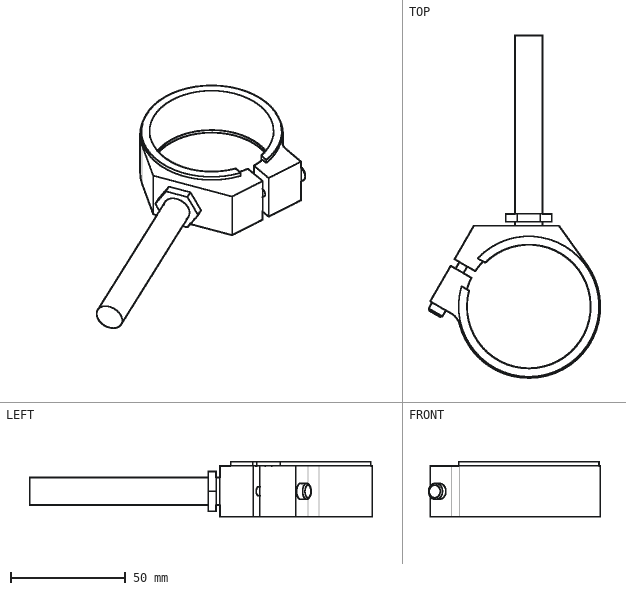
import cadquery as cq
import math

clamp_radius = 31.1
clamp_height = 22.2
mid_height = clamp_height / 2
bore_radius = 27.9
plate_y = 35.2
plate_right_x = 13.1

split_angle = 150
split_width = 3.3
lug_reach = 38.3
lug_length = 19.5
lug_fillet = 7.6

liner_radius = 27.0
flange_radius = 30.5
total_height = 24.0
lip_radius = 26.8
lip_height = 1.5
liner_gap = 14.0

screw_reach = 33.8
shank_diameter = 4.0
head_diameter = 7.0
head_height = 3.7
head_chamfer = 0.7
shank_depth = 9.0

rod_diameter = 12.0
overall_length = 149
rod_end_y = overall_length - clamp_radius
nut_across_flats = 17.5
nut_thickness = 3.5
nut_gap = 1.6


def turned(x, y):
    """Point in the split frame, turned into part coordinates."""
    angle = math.radians(split_angle)
    return (
        x * math.cos(angle) - y * math.sin(angle),
        x * math.sin(angle) + y * math.cos(angle),
    )


def disc(radius, bottom, top):
    return cq.Workplane("XY").workplane(offset=bottom).circle(radius).extrude(top - bottom)


def split_slot(width):
    """Cutter running outward from the ring axis along the split."""
    slot = cq.Workplane("XY").rect(lug_reach * 2, width).extrude(total_height)
    return slot.translate((lug_reach, 0, 0)).rotate((0, 0, 0), (0, 0, 1), split_angle)


def upper_lug():
    """Block carrying the rod, its right flank tangent to the ring."""
    corner_distance = math.hypot(plate_right_x, plate_y)
    corner_angle = math.atan2(plate_y, plate_right_x)
    tangent_angle = corner_angle - math.acos(clamp_radius / corner_distance)
    tangent_point = (
        clamp_radius * math.cos(tangent_angle),
        clamp_radius * math.sin(tangent_angle),
    )
    angle = math.radians(split_angle)
    plate_left_x = (lug_reach - plate_y * math.sin(angle)) / math.cos(angle)
    outline = [
        (0, 0),
        tangent_point,
        (plate_right_x, plate_y),
        (plate_left_x, plate_y),
        turned(lug_reach, 0),
    ]
    return cq.Workplane("XY").polyline(outline).close().extrude(clamp_height)


def lower_lug():
    """Block under the screw head, blended into the ring by a tangent arc."""
    center_y = lug_length + lug_fillet
    center_distance = clamp_radius + lug_fillet
    center_x = math.sqrt(center_distance**2 - center_y**2)
    ring_ratio = clamp_radius / center_distance
    start_angle = -math.pi / 2
    end_angle = math.atan2(center_y, center_x) - math.pi
    middle_angle = (start_angle + end_angle) / 2
    arc_middle = turned(
        center_x + lug_fillet * math.cos(middle_angle),
        center_y + lug_fillet * math.sin(middle_angle),
    )
    return (
        cq.Workplane("XY")
        .lineTo(*turned(lug_reach, 0))
        .lineTo(*turned(lug_reach, lug_length))
        .lineTo(*turned(center_x, lug_length))
        .threePointArc(arc_middle, turned(center_x * ring_ratio, center_y * ring_ratio))
        .close()
        .extrude(clamp_height)
    )


def clamp():
    body = disc(clamp_radius, 0, clamp_height).union(upper_lug()).union(lower_lug())
    return body.cut(disc(bore_radius, 0, clamp_height)).cut(split_slot(split_width))


def liner():
    """Thin sleeve with an outer flange on top and a slight inner lip at the bottom."""
    sleeve = disc(bore_radius, 0, total_height)
    flange = disc(flange_radius, clamp_height, total_height)
    bore = disc(lip_radius, 0, lip_height).union(disc(liner_radius, lip_height, total_height))
    ring = sleeve.union(flange).cut(bore)
    return ring.cut(split_slot(liner_gap))


def screw():
    """Screw crossing the split from the lower lug into the upper one."""
    x, y = turned(screw_reach, lug_length)
    angle = math.radians(split_angle)
    outward = (-math.sin(angle), math.cos(angle), 0)
    seat = cq.Workplane(cq.Plane(origin=(x, y, mid_height), normal=outward))
    head = seat.circle(head_diameter / 2).extrude(head_height)
    outer_face = cq.selectors.DirectionMinMaxSelector(cq.Vector(*outward), True)
    head = head.faces(outer_face).chamfer(head_chamfer)
    shank = seat.circle(shank_diameter / 2).extrude(-(lug_length + shank_depth))
    return head.union(shank)


def rod():
    plate_face = cq.Workplane("XZ", origin=(0, plate_y, mid_height))
    bar = plate_face.circle(rod_diameter / 2).extrude(plate_y - rod_end_y)
    across_corners = nut_across_flats / math.cos(math.pi / 6)
    nut = plate_face.workplane(offset=-nut_gap).polygon(6, across_corners).extrude(-nut_thickness)
    return bar.union(nut)


result = clamp().union(liner()).union(screw()).union(rod())